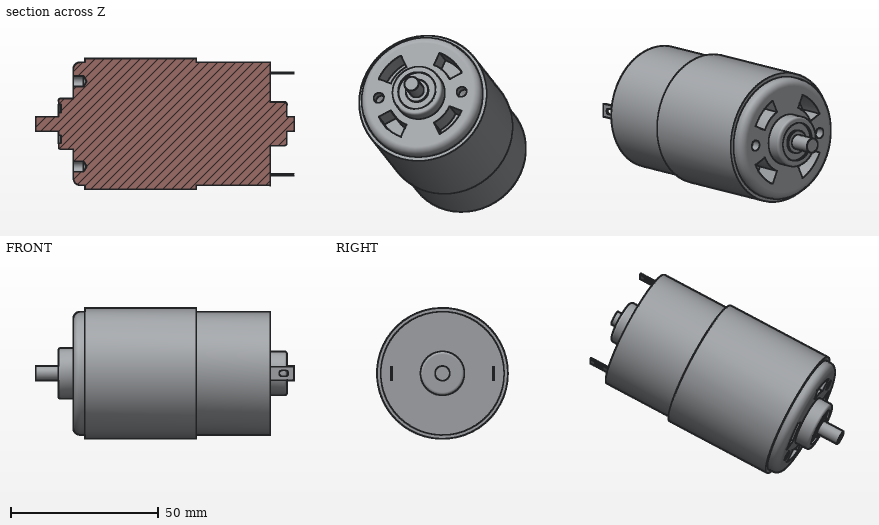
import cadquery as cq
import math

front_boss_start = 7.7
can_start = 12.8
sleeve_start = 16.7
sleeve_end = 54.65
can_end = 79.8
rear_boss_end = 85.5
terminal_end = 87.7
shaft_end = 88.0

shaft_diameter = 5.0
front_boss_diameter = 17.3
can_diameter = 42.0
sleeve_diameter = 44.6
rear_boss_diameter = 15.0

can_fillet = 2.5
front_boss_fillet = 0.8
rear_boss_fillet = 1.0
shaft_tip_chamfer = 0.1

groove_outer_diameter = 13.1
groove_inner_diameter = 7.8
groove_depth = 0.9

vent_inner_radius = 11.35
vent_outer_radius = 16.0
vent_span = 40.0
vent_directions = (45, 135, 225, 315)
vent_depth = 8.8

mount_spacing = 28.95
mount_diameter = 3.5
mount_depth = 3.5
mount_cone_angle = 118.0

terminal_spacing = 34.7
terminal_thickness = 0.6
terminal_height = 4.6
terminal_corner_radius = 0.3
terminal_embed = 0.9
slot_length = 3.2
slot_width = 1.9
slot_center = 84.4


def cylinder(diameter, start, end):
    """Solid cylinder along the motor axis from start to end."""
    return cq.Workplane("YZ").workplane(offset=start).circle(diameter / 2).extrude(end - start)


def make_body():
    """Can with sleeve, bearing bosses and through shaft."""
    can = cylinder(can_diameter, can_start, can_end).faces("<X").edges().fillet(can_fillet)
    sleeve = cylinder(sleeve_diameter, sleeve_start, sleeve_end)
    front_boss = cylinder(front_boss_diameter, front_boss_start, can_end)
    front_boss = front_boss.faces("<X").edges().fillet(front_boss_fillet)
    groove = cylinder(groove_outer_diameter, front_boss_start, front_boss_start + groove_depth)
    hub = cylinder(groove_inner_diameter, front_boss_start, can_start)
    rear_boss = cylinder(rear_boss_diameter, can_start, rear_boss_end)
    rear_boss = rear_boss.faces(">X").edges().fillet(rear_boss_fillet)
    shaft = cylinder(shaft_diameter, 0, shaft_end).faces("<X").edges().chamfer(shaft_tip_chamfer)
    body = can.union(sleeve).union(front_boss.cut(groove))
    return body.union(hub).union(rear_boss).union(shaft)


def polar(radius, angle):
    """Point in the YZ plane at an angle in degrees."""
    return radius * math.cos(math.radians(angle)), radius * math.sin(math.radians(angle))


def make_vent(direction):
    """Ring sector cutter centred on the given direction."""
    first = direction - vent_span / 2
    last = direction + vent_span / 2
    return (
        cq.Workplane("YZ")
        .workplane(offset=can_start)
        .moveTo(*polar(vent_inner_radius, first))
        .lineTo(*polar(vent_outer_radius, first))
        .threePointArc(polar(vent_outer_radius, direction), polar(vent_outer_radius, last))
        .lineTo(*polar(vent_inner_radius, last))
        .threePointArc(polar(vent_inner_radius, direction), polar(vent_inner_radius, first))
        .close()
        .extrude(vent_depth)
    )


def make_mount_hole(side):
    """Drilled hole cutter, side +1 or -1 along Y."""
    radius = mount_diameter / 2
    cone_height = radius / math.tan(math.radians(mount_cone_angle / 2))
    straight_end = can_start + mount_depth
    profile = (
        cq.Workplane("XY")
        .moveTo(can_start, 0)
        .lineTo(can_start, radius)
        .lineTo(straight_end, radius)
        .lineTo(straight_end + cone_height, 0)
        .close()
    )
    hole = profile.revolve(360, (0, 0, 0), (1, 0, 0))
    return hole.translate((0, side * mount_spacing / 2, 0))


def make_terminal(side):
    """Slotted blade standing on the rear face, side +1 or -1 along Y."""
    start = can_end - terminal_embed
    blade = cq.Workplane("XY").box(
        terminal_end - start, terminal_thickness, terminal_height, centered=(False, True, True)
    )
    blade = blade.translate((start, 0, 0)).edges("|Y and >X").fillet(terminal_corner_radius)
    slot = (
        cq.Workplane("XZ")
        .center(slot_center, 0)
        .slot2D(slot_length, slot_width)
        .extrude(terminal_thickness, both=True)
    )
    return blade.cut(slot).translate((0, side * terminal_spacing / 2, 0))


result = make_body()
for vent_direction in vent_directions:
    result = result.cut(make_vent(vent_direction))
for y_side in (-1, 1):
    result = result.cut(make_mount_hole(y_side))
    result = result.union(make_terminal(y_side))
result = result.translate((-shaft_end / 2, 0, 0))